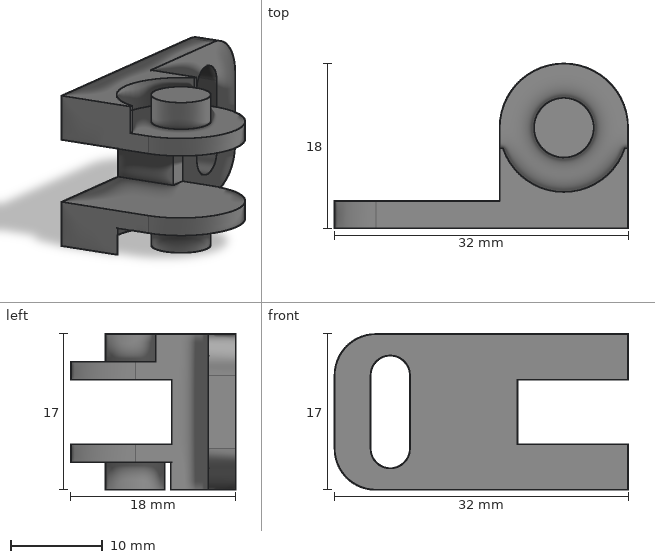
import cadquery as cq

length = 32.0
height = 17.0
plate_thickness = 3.0
corner_radius = 4.5
slot_width = 4.25
slot_height = 12.25
slot_center_x = 6.08

depth = 18.0
knuckle_width = 14.0
knuckle_radius = knuckle_width / 2
pin_x = length - knuckle_radius
pin_y = depth - knuckle_radius
pin_diameter = 6.5
pin_length = 3.0
ear_gap = 7.0
ear_gap_floor_y = 7.0
notch_depth = 12.03

upper_shoulder_y = 8.75
upper_seat_radius = knuckle_radius
lower_seat_radius = 8.0


def box(x_start, x_end, y_start, y_end, z_start, z_end):
    size = (x_end - x_start, y_end - y_start, z_end - z_start)
    return cq.Workplane("XY").box(*size, centered=False).translate((x_start, y_start, z_start))


def pin_cylinder(radius, z_start, cylinder_length):
    """Vertical cylinder on the pin axis."""
    return (
        cq.Workplane("XY", origin=(pin_x, pin_y, z_start))
        .circle(radius)
        .extrude(cylinder_length)
    )


def make_plate():
    plate = box(0, length, 0, plate_thickness, 0, height).edges("|Y and <X").fillet(corner_radius)
    slot = (
        cq.Workplane("XZ", origin=(slot_center_x, 0, height / 2))
        .slot2D(slot_height, slot_width, 90)
        .extrude(-plate_thickness)
    )
    return plate.cut(slot)


def make_knuckle():
    """Full-height block with a rounded back."""
    block = box(length - knuckle_width, length, 0, pin_y, 0, height)
    return block.union(pin_cylinder(knuckle_radius, 0, height))


def cut_ear_gap(body):
    """Separate the ears and run the notch through to the front face."""
    gap_bottom = (height - ear_gap) / 2
    gap_top = gap_bottom + ear_gap
    gap = box(0, length, ear_gap_floor_y, depth, gap_bottom, gap_top)
    notch = box(length - notch_depth, length, 0, depth, gap_bottom, gap_top)
    return body.cut(gap).cut(notch)


def cut_pin_seats(body):
    """Clear the space around both pins down to the outer ear faces."""
    upper_z = height - pin_length
    upper_back = box(0, length, upper_shoulder_y, depth, upper_z, height)
    upper_seat = pin_cylinder(upper_seat_radius, upper_z, pin_length)
    lower_seat = pin_cylinder(lower_seat_radius, 0, pin_length)
    return body.cut(upper_back).cut(upper_seat).cut(lower_seat)


result = make_plate().union(make_knuckle())
result = cut_pin_seats(cut_ear_gap(result))
for pin_start_z in (0, height - pin_length):
    result = result.union(pin_cylinder(pin_diameter / 2, pin_start_z, pin_length))